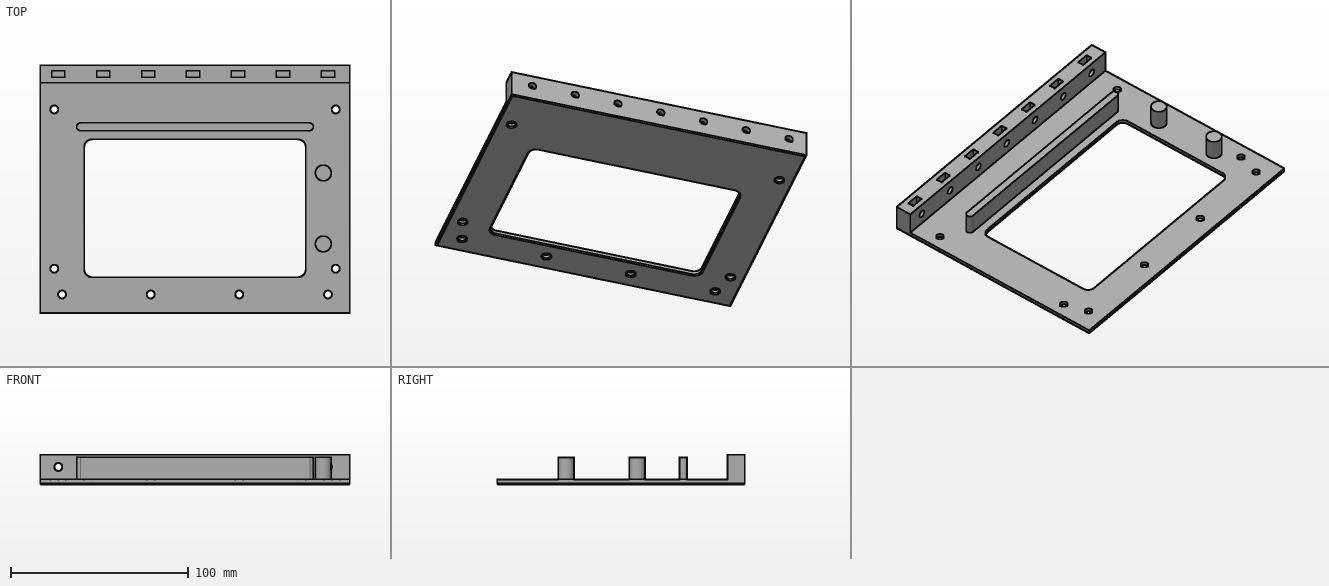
import cadquery as cq

plate_length = 175.0
plate_width = 140.0
plate_thickness = 3.0
bottom_chamfer = 0.7
total_height = 17.0

window_length = 125.0
window_width = 77.7
window_front = 20.3
window_radius = 4.4

screw_diameter = 4.4
side_hole_inset = 8.0
side_hole_rows = (25.0, 115.0)
front_hole_count = 4
front_hole_inset = 12.5
front_hole_y = 10.5

rail_width = 10.0
rail_hole_count = 7
rail_hole_pitch = 25.4
rail_hole_start = 10.3
rail_hole_height = 10.0
nut_slot_length = 7.5
nut_slot_width = 3.5

post_height = 12.5
fence_length = 133.7
fence_thickness = 4.4
fence_y = 105.2
pin_diameter = 9.0
pin_x = 160.0
pin_rows = (39.0, 79.1)

center_x = plate_length / 2
rail_y = plate_width - rail_width / 2
rail_hole_xs = [rail_hole_start + i * rail_hole_pitch for i in range(rail_hole_count)]


def make_plate():
    """Plate with its openings, all edges of its underside chamfered."""
    plate = cq.Workplane("XY").box(plate_length, plate_width, plate_thickness, centered=False)
    plate = plate.cut(make_window()).cut(make_screw_holes())
    return plate.faces("<Z").edges().chamfer(bottom_chamfer)


def make_window():
    """Cutter for the window, with rounded corners."""
    window_y = window_front + window_width / 2
    return (
        cq.Workplane("XY")
        .center(center_x, window_y)
        .rect(window_length, window_width)
        .extrude(plate_thickness)
        .edges("|Z")
        .fillet(window_radius)
    )


def make_screw_holes():
    """Cutter for the holes beside the window and along the front edge."""
    side_columns = (side_hole_inset, plate_length - side_hole_inset)
    points = [(x, y) for x in side_columns for y in side_hole_rows]
    front_pitch = (plate_length - 2 * front_hole_inset) / (front_hole_count - 1)
    points += [(front_hole_inset + i * front_pitch, front_hole_y) for i in range(front_hole_count)]
    return cq.Workplane("XY").pushPoints(points).circle(screw_diameter / 2).extrude(plate_thickness)


def make_rail():
    """Rail standing on the plate, with cross holes that each meet a nut slot open at the top."""
    top_plane = cq.Workplane("XY", origin=(0, 0, plate_thickness))
    rail = top_plane.center(center_x, rail_y).rect(plate_length, rail_width)
    rail = rail.extrude(total_height - plate_thickness)
    cross_holes = (
        cq.Workplane("XZ", origin=(0, plate_width, 0))
        .pushPoints([(x, rail_hole_height) for x in rail_hole_xs])
        .circle(screw_diameter / 2)
        .extrude(rail_width)
    )
    nut_slot_floor = rail_hole_height - nut_slot_length / 2
    nut_slots = (
        cq.Workplane("XY", origin=(0, 0, nut_slot_floor))
        .pushPoints([(x, rail_y) for x in rail_hole_xs])
        .rect(nut_slot_length, nut_slot_width)
        .extrude(total_height - nut_slot_floor)
    )
    return rail.cut(cross_holes).cut(nut_slots)


def make_posts():
    """Fence behind the window and the pins to the right of it."""
    top_plane = cq.Workplane("XY", origin=(0, 0, plate_thickness))
    fence = top_plane.center(center_x, fence_y).slot2D(fence_length, fence_thickness).extrude(post_height)
    pins = top_plane.pushPoints([(pin_x, y) for y in pin_rows]).circle(pin_diameter / 2).extrude(post_height)
    return fence.union(pins)


result = make_plate().union(make_rail()).union(make_posts())